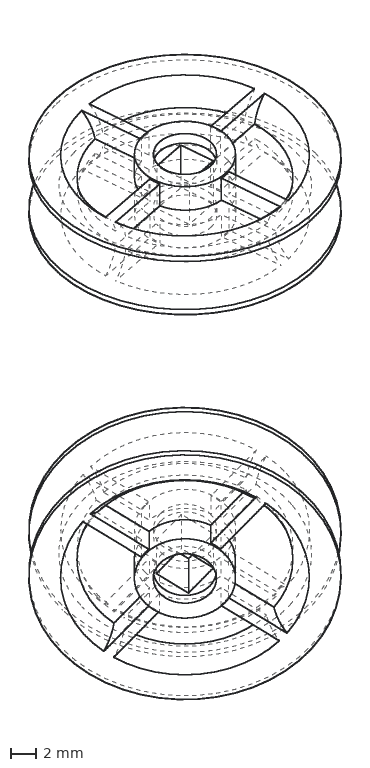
import cadquery as cq
import math

rim_radius = 12.35
total_height = 6.35
hub_overhang = 0.15
half_height = total_height / 2 - hub_overhang

groove_radius = 2.5
groove_floor_radius = 10.0
groove_center = groove_floor_radius + groove_radius
wall_thickness = 1.53
pocket_arc_radius = groove_radius + wall_thickness
web_half_thickness = 0.75

hub_radius = 4.0
counterbore_radius = 2.5
counterbore_depth = 1.0
square_side = 3.2
rib_width = 1.0


def arc_radius_at(arc_radius, z):
    """Distance from the wheel axis to an arc about the groove center."""
    return groove_center - math.sqrt(arc_radius**2 - z**2)


def make_rim():
    """Solid wheel with a round groove in its edge."""
    groove_half_width = math.sqrt(groove_radius**2 - (groove_center - rim_radius) ** 2)
    return (
        cq.Workplane("XZ")
        .moveTo(0, -half_height)
        .lineTo(rim_radius, -half_height)
        .lineTo(rim_radius, -groove_half_width)
        .threePointArc((groove_floor_radius, 0), (rim_radius, groove_half_width))
        .lineTo(rim_radius, half_height)
        .lineTo(0, half_height)
        .close()
        .revolve(360, (0, 0, 0), (0, 1, 0))
    )


def make_pocket():
    """Upper ring pocket, split into four by the cross ribs."""
    middle_z = (web_half_thickness + half_height) / 2
    ring = (
        cq.Workplane("XZ")
        .moveTo(hub_radius, web_half_thickness)
        .lineTo(arc_radius_at(pocket_arc_radius, web_half_thickness), web_half_thickness)
        .threePointArc(
            (arc_radius_at(pocket_arc_radius, middle_z), middle_z),
            (arc_radius_at(pocket_arc_radius, half_height), half_height),
        )
        .lineTo(hub_radius, half_height)
        .close()
        .revolve(360, (0, 0, 0), (0, 1, 0))
    )
    for length_x, length_y in ((2 * rim_radius, rib_width), (rib_width, 2 * rim_radius)):
        ring = ring.cut(cq.Workplane("XY").box(length_x, length_y, total_height))
    return ring


def make_counterbore():
    """Round recess in the upper hub face."""
    return (
        cq.Workplane("XY")
        .workplane(offset=total_height / 2 - counterbore_depth)
        .circle(counterbore_radius)
        .extrude(counterbore_depth)
    )


hub = cq.Workplane("XY").circle(hub_radius).extrude(total_height / 2, both=True)
square_bore = cq.Workplane("XY").box(square_side, square_side, total_height)

wheel = make_rim().union(hub).cut(square_bore)

for recess in (make_pocket(), make_counterbore()):
    wheel = wheel.cut(recess).cut(recess.mirror("XY"))

result = wheel